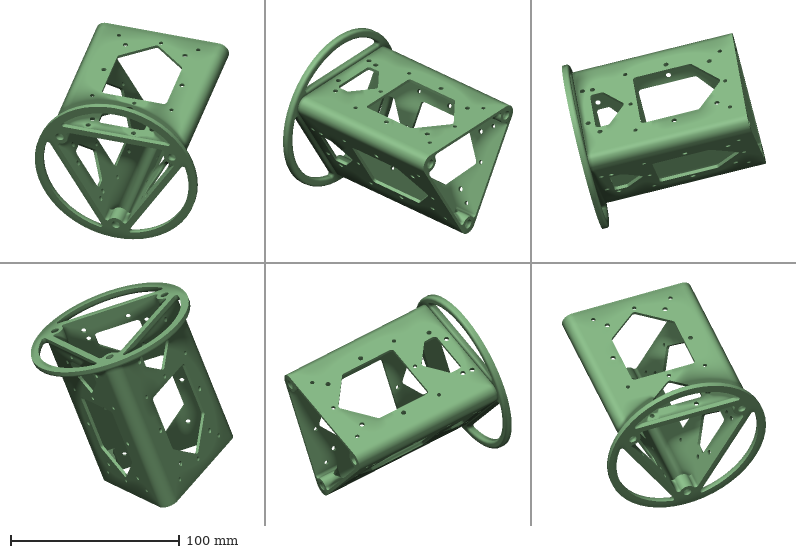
import cadquery as cq
import math

length = 102.0
flange_radius = 50.0
flange_thickness = 4.0
flange_edge_round = 1.5

bolt_circle_radius = 40.0
tube_corner_radius = 6.3
wall = 1.9
inner_corner_radius = tube_corner_radius - wall
wall_outer_distance = bolt_circle_radius / 2 + tube_corner_radius
wall_inner_distance = wall_outer_distance - wall

rim_inner_radius = 45.0
flange_ledge = 1.9
slot_round = 1.3

boss_radius = 5.0
front_hole_diameter = 5.0
back_hole_diameter = 5.6
boss_root_round = 1.6
front_boss_length = 10.2
back_boss_start = 87.1
undercut_tip_radius = 1.0
undercut_valley_round = 2.0

large_window = (20.0, 39.0, 74.6, 90.6)
small_window = (14.3, 12.0, 20.1, 31.5)
window_round = 2.0

small_hole_diameter = 2.5
small_holes = [(x, y) for x in (-24.5, 1.5, 24.5) for y in (35.0, 92.9)]
large_hole_diameter = 3.1
large_holes = [(x, y) for x in (-18.4, 18.4) for y in (14.1, 85.7)]
large_holes += [(-24.4, 60.0), (24.3, 58.8), (-19.3, 8.1), (8.8, 8.1)]

SIDE_ANGLES = (0, 120, 240)


def prism(outline, depth):
    """Extrude an XZ outline towards +Y."""
    return outline.extrude(-depth)


def around_axis(shape):
    """Copies of a shape for all three sides of the part."""
    copies = [shape.rotate((0, 0, 0), (0, 1, 0), angle) for angle in SIDE_ANGLES]
    return copies[0].add(copies[1]).add(copies[2]).combine()


def triangle(inradius):
    """Equilateral outline with one flat side on top and one corner at the bottom."""
    half_side = inradius * math.sqrt(3)
    corners = [(-half_side, inradius), (half_side, inradius), (0, -2 * inradius)]
    return cq.Workplane("XZ").polyline(corners).close()


def rounded_triangle(inradius, corner_radius):
    """Outline of a triangle with rounded corners."""
    return triangle(inradius - corner_radius).offset2D(corner_radius)


def flange_opening():
    """Segment-shaped opening between the flange rim and the top wall."""
    chord_distance = wall_outer_distance + flange_ledge
    half_chord = math.sqrt(rim_inner_radius**2 - chord_distance**2)
    outline = (
        cq.Workplane("XZ")
        .moveTo(-half_chord, chord_distance)
        .threePointArc((0, rim_inner_radius), (half_chord, chord_distance))
        .close()
    )
    return prism(outline, flange_thickness).edges("|Y").fillet(slot_round)


def boss_clear_bore():
    """Triangular bore with its corners cut off around the three bosses."""
    bottom_boss = prism(cq.Workplane("XZ").center(0, -bolt_circle_radius).circle(boss_radius), length)
    tip_start = -bolt_circle_radius - boss_radius / 5
    tip_size = bolt_circle_radius / 2
    tip = prism(cq.Workplane("XZ").center(0, tip_start - tip_size / 2).rect(tip_size, tip_size), length)
    bore = prism(triangle(wall_inner_distance), length).cut(around_axis(bottom_boss.union(tip)))
    return bore.edges("|Y").fillet(boss_root_round)


def bottom_corner_block(start, end):
    """Block that holds the bottom corner of the triangle between two Y positions."""
    bottom_edge = -flange_radius
    top_edge = -bolt_circle_radius / 2
    outline = [(start, bottom_edge), (end, bottom_edge), (end, top_edge), (start, top_edge)]
    return cq.Workplane("YZ").polyline(outline).close().extrude(flange_radius, both=True)


def back_boss_undercut():
    """Room below the back bosses, closing in from the walls at 45 degrees.

    The rounded corners shrink to cones and, inside the screw holes, give way to a plain pyramid.
    """
    cone_height = inner_corner_radius - undercut_tip_radius
    cone_part = rounded_triangle(wall_inner_distance, inner_corner_radius).extrude(
        -cone_height, taper=45
    )
    pyramid_height = wall_inner_distance / 2
    pyramid = triangle(wall_inner_distance - cone_height).extrude(-pyramid_height, taper=45)
    pyramid = pyramid.edges("not #Y").fillet(undercut_valley_round)
    cone_part = cone_part.translate((0, back_boss_start, 0))
    pyramid = pyramid.translate((0, back_boss_start + cone_height, 0))
    return cone_part.union(pyramid)


def bottom_hole(diameter, start):
    """Screw hole along the bottom corner, from a Y position to the back end."""
    centre = cq.Workplane("XZ", origin=(0, start, -bolt_circle_radius))
    return prism(centre.circle(diameter / 2), length - start)


def window(half_width, base, shoulder, peak):
    """House-shaped cutter through the top wall."""
    outline = [
        (-half_width, base),
        (half_width, base),
        (half_width, shoulder),
        (0, peak),
        (-half_width, shoulder),
    ]
    panel = cq.Workplane("XY", origin=(0, 0, wall_inner_distance - wall))
    return panel.polyline(outline).close().extrude(3 * wall).edges("|Z").fillet(window_round)


def wall_holes(diameter, places):
    """Round cutters through the top wall."""
    panel = cq.Workplane("XY", origin=(0, 0, wall_inner_distance - wall))
    return panel.pushPoints(places).circle(diameter / 2).extrude(3 * wall)


inside = prism(rounded_triangle(wall_inner_distance, inner_corner_radius), length)
bore = boss_clear_bore()
boss_stock = inside.cut(bore)
front_bosses = boss_stock.intersect(around_axis(bottom_corner_block(0, front_boss_length)))
back_bosses = boss_stock.intersect(around_axis(bottom_corner_block(back_boss_start, length)))
back_bosses = back_bosses.cut(back_boss_undercut())
tube = prism(rounded_triangle(wall_outer_distance, tube_corner_radius), length)
tube = tube.cut(inside).union(front_bosses).union(back_bosses)

flange = prism(cq.Workplane("XZ").circle(flange_radius), flange_thickness)
flange = flange.cut(around_axis(flange_opening()))
flange = flange.faces(">Y").edges().fillet(flange_edge_round)
flange = flange.cut(bore)

screw_holes = around_axis(bottom_hole(front_hole_diameter, 0).union(bottom_hole(back_hole_diameter, length / 2)))

wall_cuts = (
    window(*large_window)
    .union(window(*small_window))
    .union(wall_holes(small_hole_diameter, small_holes))
    .union(wall_holes(large_hole_diameter, large_holes))
)

result = tube.union(flange).cut(screw_holes).cut(around_axis(wall_cuts))